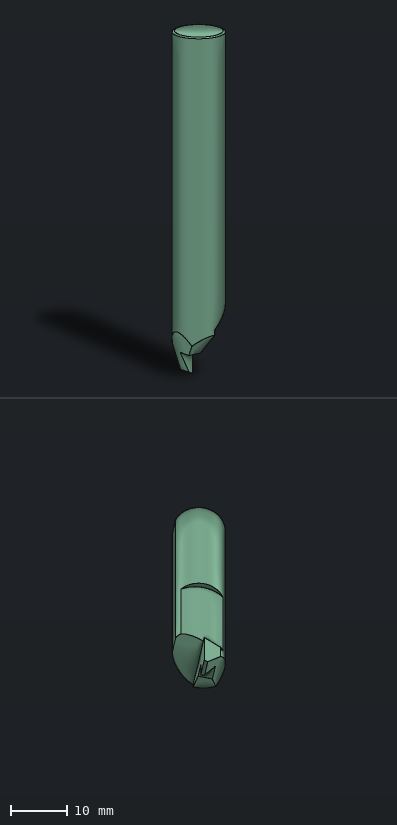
import cadquery as cq
import math

length = 63.5
radius = 4.75
flat_y = 4.5
chamfer_width = 0.45
chamfer_height = 0.2

groove_top_z = 31.75
groove_bottom_z = 9.4
groove_half_width = 3.8
groove_floor_x = -4.0

front_slope_top_z = 8.75
tip_thickness = 0.7
tip_relief_height = 0.2
side_relief_depth = 3.25
tooth_inner_x = -1.8
tooth_inner_relief_angle = 5.0
step_z = 4.2
step_end_x = 0.5

margin = 3.2
reach = radius + margin


def cross_section_x(y):
    """X of the -X side of the bar at a given Y."""
    return -math.sqrt(radius**2 - y**2)


def make_shank():
    bar = (
        cq.Workplane("XZ")
        .polyline([
            (0, 0),
            (radius, 0),
            (radius, length - chamfer_height),
            (radius - chamfer_width, length),
            (0, length),
        ])
        .close()
        .revolve(360, (0, 0), (0, 1))
    )
    beyond_flat = cq.Workplane("XY").box(2 * reach, margin, length, centered=(True, False, False))
    return bar.cut(beyond_flat.translate((0, flat_y, 0)))


def make_groove():
    edge_x = cross_section_x(groove_half_width)
    return (
        cq.Workplane("XY", origin=(0, 0, groove_bottom_z))
        .moveTo(-reach, -groove_half_width)
        .lineTo(edge_x, -groove_half_width)
        .threePointArc((groove_floor_x, 0), (edge_x, groove_half_width))
        .lineTo(-reach, groove_half_width)
        .close()
        .extrude(groove_top_z - groove_bottom_z)
    )


def along_x(points):
    """Cutter with a (Y, Z) outline, running across the whole bar in X."""
    return cq.Workplane("YZ").polyline(points).close().extrude(reach, both=True)


def make_rake_cut():
    """Clear the +Y half of the end, running out at 45 degrees."""
    return along_x([
        (0, -margin),
        (0, groove_bottom_z),
        (reach, groove_bottom_z + reach),
        (reach, -margin),
    ])


def make_front_slope():
    """Steep slope on the -Y side, ending in the slightly relieved tip."""
    return along_x([
        (0, 0),
        (-tip_thickness, tip_relief_height),
        (-radius, front_slope_top_z),
        (-reach, front_slope_top_z),
        (-reach, -margin),
        (0, -margin),
    ])


def make_side_relief():
    """Flat clearance face behind the -X cutting edge, below the groove."""
    return (
        cq.Workplane("XY")
        .polyline([
            (-radius, 0),
            (cross_section_x(side_relief_depth), -side_relief_depth),
            (-reach, -side_relief_depth),
            (-reach, 0),
        ])
        .close()
        .extrude(groove_bottom_z)
    )


def make_step():
    """Space beside the tooth: a relieved wall, a level step and a 45 degree slope."""
    relief_shift = reach * math.tan(math.radians(tooth_inner_relief_angle))
    beside_tooth = (
        cq.Workplane("XY")
        .polyline([
            (tooth_inner_x, 0),
            (tooth_inner_x - relief_shift, -reach),
            (reach, -reach),
            (reach, 0),
        ])
        .close()
        .extrude(step_z)
    )
    under_slope = (
        cq.Workplane("XZ")
        .polyline([
            (step_end_x, step_z),
            (reach, step_z + reach - step_end_x),
            (reach, step_z),
        ])
        .close()
        .extrude(reach)
    )
    return beside_tooth.union(under_slope)


result = (
    make_shank()
    .cut(make_groove())
    .cut(make_rake_cut())
    .cut(make_front_slope())
    .cut(make_side_relief())
    .cut(make_step())
)